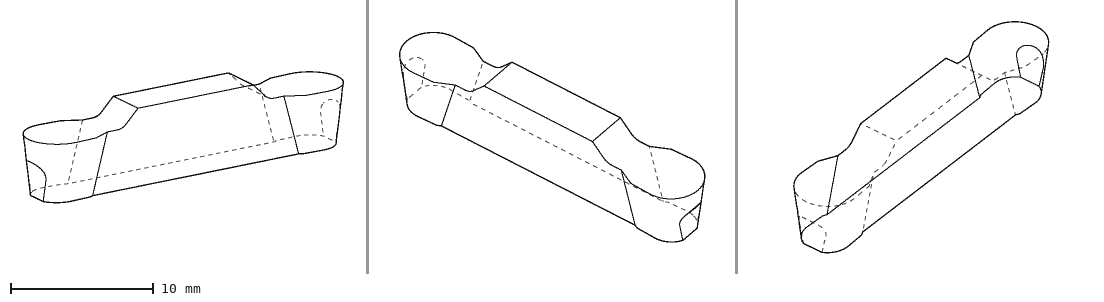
import cadquery as cq
import math

length = 25.8
height = 5.78
body_width = 3.2

head_height = 4.5
head_radius = 2.37
relief_angle = math.radians(7)
flank_angle = math.radians(2.5)
neck_angle = math.radians(26.6)
neck_distance = 5.55
base_center_shift = 0.05
shoulder_radius = 0.2
head_root_half_width = 0.77

ridge_distance = 8.1
ramp_fillet = 1.03

notch_depth = 0.7
notch_wall_height = 1.65
notch_radius = 1.5

half_length = length / 2
half_body = body_width / 2
base_inset = head_height * math.tan(relief_angle)


def neck_start(inset):
    """Distance from the tip at which the inset neck meets the body side."""
    return neck_distance - inset / math.sin(neck_angle)


def head_outline(inset, center_shift, z):
    """Return the head outline at height z, inset from the top outline."""
    radius = head_radius - inset
    center_y = half_length - head_radius + center_shift
    tangent_x = radius * math.cos(flank_angle)
    tangent_y = center_y - radius * math.sin(flank_angle)

    neck_y = half_length - neck_start(inset)
    flank_slope = math.tan(flank_angle)
    neck_slope = math.tan(neck_angle)
    rise = tangent_x - half_body - flank_slope * (tangent_y - neck_y)
    shoulder_offset = rise / (neck_slope - flank_slope)
    shoulder_x = half_body + neck_slope * shoulder_offset
    shoulder_y = neck_y + shoulder_offset
    root_y = neck_y - (half_body - head_root_half_width) / neck_slope

    return (
        cq.Workplane("XY", origin=(0, 0, z))
        .moveTo(head_root_half_width, root_y)
        .lineTo(shoulder_x, shoulder_y)
        .lineTo(tangent_x, tangent_y)
        .threePointArc((0, center_y + radius), (-tangent_x, tangent_y))
        .lineTo(-shoulder_x, shoulder_y)
        .lineTo(-head_root_half_width, root_y)
        .close()
        .val()
    )


def shoulder_edges(head):
    """Select the two slanting edges where flank and neck meet."""
    upright = [
        edge for edge in head.edges().vals()
        if edge.BoundingBox().zlen > head_height / 2
        and abs(edge.Center().x) > half_body
    ]
    inner_y = min(edge.Center().y for edge in upright)
    return [edge for edge in upright if edge.Center().y < inner_y + shoulder_radius]


def make_notch():
    """Make the cutter for the hollow, with a concave arc above its wall."""
    wall_y = half_length - notch_depth
    arc_center_y = wall_y + notch_radius
    diagonal = notch_radius * math.sqrt(0.5)
    return (
        cq.Workplane("YZ")
        .moveTo(wall_y, 0)
        .lineTo(wall_y, notch_wall_height)
        .threePointArc(
            (arc_center_y - diagonal, notch_wall_height + diagonal),
            (arc_center_y, notch_wall_height + notch_radius),
        )
        .lineTo(arc_center_y, 0)
        .close()
        .extrude(head_radius, both=True)
    )


def make_head():
    """Make the head at the +Y end."""
    base = head_outline(base_inset, base_center_shift, 0)
    top = head_outline(0, 0, head_height)
    head = cq.Workplane(cq.Solid.makeLoft([base, top], True))
    head = head.newObject(shoulder_edges(head)).fillet(shoulder_radius)
    return head.cut(make_notch())


def make_body():
    """Make the straight body with its ridge and filleted end ramps."""
    ridge_half = half_length - ridge_distance
    ramp_foot = ridge_half + height - head_height
    end_clearance = 0.1
    body_half = half_length - neck_start(base_inset) + end_clearance
    body = (
        cq.Workplane("YZ")
        .polyline([
            (-body_half, 0),
            (body_half, 0),
            (body_half, head_height),
            (ramp_foot, head_height),
            (ridge_half, height),
            (-ridge_half, height),
            (-ramp_foot, head_height),
            (-body_half, head_height),
        ])
        .close()
        .extrude(half_body, both=True)
    )
    for foot_y in (-ramp_foot, ramp_foot):
        foot = cq.selectors.NearestToPointSelector((0, foot_y, head_height))
        body = body.edges(foot).fillet(ramp_fillet)
    return body


head = make_head()
result = make_body().union(head).union(head.mirror("XZ")).clean()